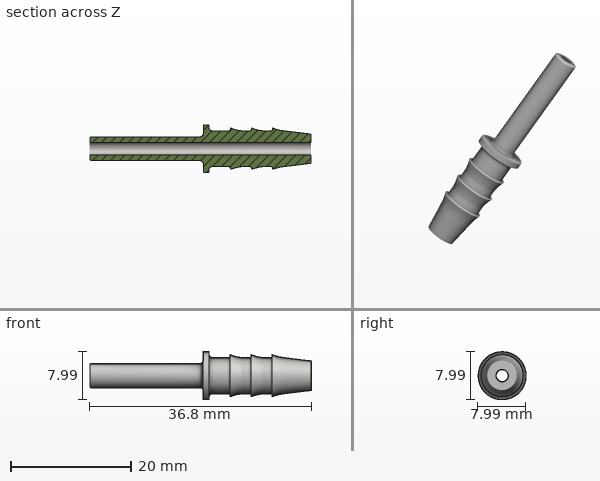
import cadquery as cq
import math

total_length = 36.8
bore_radius = 1.0

shank_radius = 2.02
shank_end_round = 0.25

flange_start = 18.8
flange_width = 1.0
flange_radius = 3.993
flange_root_fillet = 0.5

body_radius = 3.0
barb_count = 3
barb_radius = 3.5
first_barb_position = 23.3
barb_pitch = 3.5
barb_flank_length = 1.9
flank_sag = 0.07
barb_root_fillet = 0.22

tip_radius = 2.45
tip_round = 0.07

flange_end = flange_start + flange_width
fillet_mid = 1 - math.sqrt(0.5)


def add_barb(profile, position):
    """Add one barb: rounded root, square rear face and a concave front flank."""
    flank_middle_radius = (barb_radius + body_radius) / 2 - flank_sag
    return (
        profile.lineTo(position - barb_root_fillet, body_radius)
        .threePointArc(
            (position - barb_root_fillet * fillet_mid, body_radius + barb_root_fillet * fillet_mid),
            (position, body_radius + barb_root_fillet),
        )
        .lineTo(position, barb_radius)
        .threePointArc(
            (position + barb_flank_length / 2, flank_middle_radius),
            (position + barb_flank_length, body_radius),
        )
    )


def half_profile():
    """Closed half section in the XY plane, from the bore wall to the outside."""
    profile = (
        cq.Workplane("XY")
        .moveTo(0, bore_radius)
        .lineTo(0, shank_radius - shank_end_round)
        .threePointArc(
            (shank_end_round * fillet_mid, shank_radius - shank_end_round * fillet_mid),
            (shank_end_round, shank_radius),
        )
        .lineTo(flange_start - flange_root_fillet, shank_radius)
        .threePointArc(
            (flange_start - flange_root_fillet * fillet_mid, shank_radius + flange_root_fillet * fillet_mid),
            (flange_start, shank_radius + flange_root_fillet),
        )
        .lineTo(flange_start, flange_radius)
        .lineTo(flange_end, flange_radius)
        .lineTo(flange_end, body_radius + flange_root_fillet)
        .threePointArc(
            (flange_end + flange_root_fillet * fillet_mid, body_radius + flange_root_fillet * fillet_mid),
            (flange_end + flange_root_fillet, body_radius),
        )
    )
    for index in range(barb_count):
        profile = add_barb(profile, first_barb_position + index * barb_pitch)
    return (
        profile.lineTo(total_length - tip_round, tip_radius)
        .threePointArc(
            (total_length - tip_round * fillet_mid, tip_radius - tip_round * fillet_mid),
            (total_length, tip_radius - tip_round),
        )
        .lineTo(total_length, bore_radius)
        .close()
    )


result = half_profile().revolve(360, (0, 0, 0), (1, 0, 0))